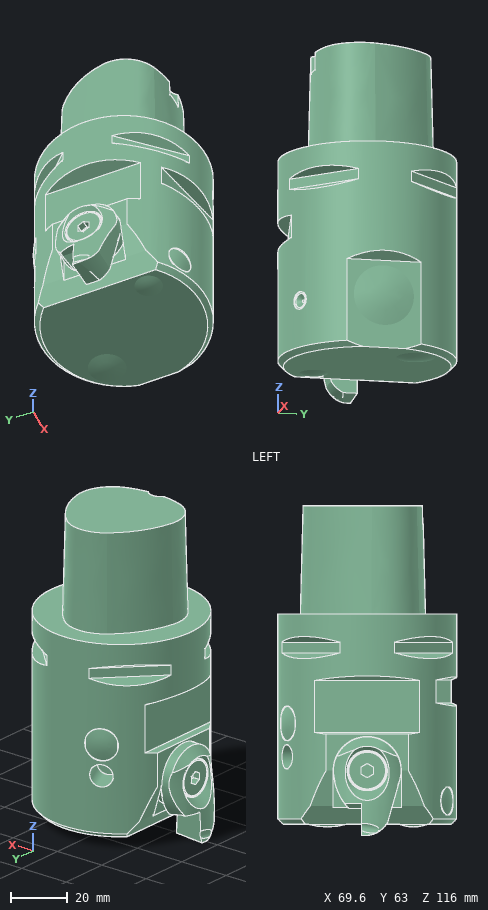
import cadquery as cq
import math

TOP_Z = 116.0
FLANGE_Z = 78.0
BOTTOM_Z = 4.0
BODY_DIA = 63.0
BODY_RADIUS = BODY_DIA / 2
BOTTOM_CHAMFER = 2.0
OUTSIDE = 46.4

SHANK_LOBE_REACH = 23.5
SHANK_FLAT_REACH = 20.5
LOBE_CENTER = 8.6
SHANK_TAPER = 40.0
LOBE_ANGLES = (90, 210, 330)
LOBE_SPACING = 120
KEY_DIA = 8.5
KEY_AXIS_Y = -21.9
KEY_DEPTH = 6.4

GRIP_FLOOR = 28.0
GRIP_Z = 66.1
GRIP_FLOOR_HEIGHT = 3.7
GRIP_SLOPE = 30.0
GRIP_ANGLES = (45.0, 135.0, 225.0, 315.0)
FRONT_FLOOR = 27.3
FRONT_Z = 50.7
FRONT_FLOOR_HEIGHT = 8.0
FRONT_SLOPE = 15.0
FRONT_ANGLE = 260.0

RELIEF_FLOOR = 25.5
RELIEF_TOP_Z = 54.5
RELIEF_STEP_Z = 36.3
RELIEF_SLOPE = 15.0
SEAT_FACE = 28.0
RAMP_BEND = 24.2
RAMP_BEND_Z = 10.3
RAMP_FOOT = 20.0
BACK_FLAT = 28.5
BACK_FLAT_Z = 35.5

AXIS_Z = 22.9
POCKET_DIA = 24.0
POCKET_FLOOR = 23.9
HUB_DIA = 23.8
HUB_FRONT = 31.7
SADDLE_AXIS = 19.1
TIP_RADIUS = 19.0
TIP_LIP = 0.6
TIP_LIP_Z = 1.9
WAIST_FOOT_RADIUS = 18.0
WAIST_FOOT_Z = 11.6
WAIST_RADIUS = 16.8
WAIST_HEAD_RADIUS = 16.7
BLADE_BACK_TOP = 27.5
BLADE_BACK_FOOT = 26.5
BLADE_EDGE_Y = 2.1
BLADE_STEP_Z = 9.5
BLADE_RELIEF = 4.0
BLADE_CORNER_MID = (-4.1, 1.4)
BLADE_CORNER = (-7.2, 4.6)
BLADE_SHOULDER = (-11.5, 19.7)
PLATE_MID = (10.7, 16.2)
PLATE_FOOT_Y = 6.5
CHIP_GROOVE_RADIUS = 2.3
CHIP_GROOVE_REACH = 39.4
CHIP_GROOVE_Z = 2.8
CHIP_GROOVE_TILT = 8.0
STEP_BEVEL_RISE = 1.9
STEP_BEVEL_RUN = 5.8
SCREW_BORE_DIA = 14.2
SCREW_SEAT = 27.8
COUNTERSINK_SLOPE = 43.0
SCREW_FACE = 33.4
SCREW_HEAD_DIA = 13.6
SCREW_HEAD_CHAMFER = 0.3
SCREW_SHANK_DIA = 8.0
SCREW_END = 11.6
HEX_CORNER_DIA = 5.0
HEX_DEPTH = 2.9

PLUG_RISE = 0.9
PLUG_FLAT = 31.0
SMALL_PLUG_DIA = 10.0
SIDE_PLUG_ANGLE = 244.6
SIDE_PLUG_Z = 12.2
BACK_PLUG_DIA = 12.2
BACK_PORT_ANGLE = 115.8
BACK_PLUG_Z = 39.4
PORT_DIA = 8.5
PORT_Z = 27.7
PORT_DEPTH = 11.6
LARGE_PLUG_DIA = 13.6
SMALL_PLUG_XY = (-13.7, -16.2)
LARGE_PLUG_XY = (16.2, 14.0)
CAP_DIA = 21.6
CAP_RISE = 1.7
SET_SCREW_ANGLE = 298.8
SET_SCREW_DIA = 5.0
SET_SCREW_RIM_DIA = 6.3
SET_SCREW_RIM_DEPTH = 0.5
SET_SCREW_CONE_DEPTH = 1.4
VENT_DIA = 1.0
VENT_DEPTH = 1.2


def polar(radius, degrees):
    angle = math.radians(degrees)
    return (radius * math.cos(angle), radius * math.sin(angle))


def run(length, degrees):
    """Sideways travel of a face that leans by an angle over a length."""
    return length * math.tan(math.radians(degrees))


def radial_plane(degrees, distance, z):
    """Plane whose normal points away from the body axis; its local y is up."""
    x, y = polar(distance, degrees)
    normal = (*polar(1, degrees), 0)
    tangent = (*polar(1, degrees + 90), 0)
    return cq.Plane(origin=(x, y, z), xDir=tangent, normal=normal)


def insert_plane(distance, z=AXIS_Z):
    """Plane facing -X at a distance from the body axis; its local x is -Y."""
    return cq.Plane(origin=(-distance, 0, z), xDir=(0, -1, 0), normal=(-1, 0, 0))


def dome(plane, diameter, rise):
    """Spherical cap standing on a plane."""
    half = diameter / 2
    sphere_radius = (half**2 + rise**2) / (2 * rise)
    mid_angle = math.asin(half / sphere_radius) / 2
    mid = (sphere_radius * math.sin(mid_angle), rise - sphere_radius * (1 - math.cos(mid_angle)))
    section = cq.Plane(origin=plane.origin, xDir=plane.xDir, normal=-plane.yDir)
    return (
        cq.Workplane(section)
        .moveTo(0, 0)
        .lineTo(half, 0)
        .threePointArc(mid, (0, rise))
        .close()
        .revolve(360, (0, 0), (0, 1))
    )


def shank_outline(z, inset):
    """Rounded triangle of three lobe arcs and three flat arcs, all tangent, one lobe toward +Y."""
    swell = SHANK_LOBE_REACH - SHANK_FLAT_REACH
    flat_center = swell * (2 * LOBE_CENTER - swell) / (LOBE_CENTER - 2 * swell)
    lobe_radius = SHANK_LOBE_REACH - LOBE_CENTER - inset
    lobe_x, lobe_y = polar(LOBE_CENTER, LOBE_SPACING)
    turn_from_flat = math.degrees(math.atan2(lobe_y, flat_center - lobe_x))
    joint_turn = LOBE_SPACING / 2 - turn_from_flat

    def joint(lobe, turn):
        center_x, center_y = polar(LOBE_CENTER, lobe)
        arm_x, arm_y = polar(lobe_radius, lobe + turn)
        return (center_x + arm_x, center_y + arm_y)

    outline = cq.Workplane("XY", origin=(0, 0, z)).moveTo(*joint(LOBE_ANGLES[0], -joint_turn))
    for lobe in LOBE_ANGLES:
        outline = outline.threePointArc(
            polar(SHANK_LOBE_REACH - inset, lobe), joint(lobe, joint_turn)
        ).threePointArc(
            polar(SHANK_FLAT_REACH - inset, lobe + LOBE_SPACING / 2), joint(lobe + LOBE_SPACING, -joint_turn)
        )
    return outline.close().wires().val()


def make_shank():
    length = TOP_Z - FLANGE_Z
    outlines = [shank_outline(FLANGE_Z, 0), shank_outline(TOP_Z, length / SHANK_TAPER)]
    shank = cq.Workplane(cq.Solid.makeLoft(outlines, True))
    key = (
        cq.Workplane("XY", origin=(0, KEY_AXIS_Y, TOP_Z - KEY_DEPTH))
        .circle(KEY_DIA / 2)
        .extrude(KEY_DEPTH + 1.2)
    )
    return shank.cut(key)


def groove(floor, z, floor_height, slope, degrees):
    """Straight trapezoid cutter that widens outward from its floor."""
    depth = OUTSIDE - floor
    half = floor_height / 2
    mouth = half + run(depth, slope)
    plane = cq.Plane(
        origin=(*polar(floor, degrees), z),
        xDir=(*polar(1, degrees), 0),
        normal=(*polar(1, degrees - 90), 0),
    )
    return (
        cq.Workplane(plane)
        .polyline([(0, -half), (depth, -mouth), (depth, mouth), (0, half)])
        .close()
        .extrude(OUTSIDE, both=True)
    )


def insert_side_relief():
    """Everything removed on the -X side: a deep recess, the seat face and two ramps under it."""
    outline = [
        (-OUTSIDE, RELIEF_TOP_Z + run(OUTSIDE - RELIEF_FLOOR, RELIEF_SLOPE)),
        (-RELIEF_FLOOR, RELIEF_TOP_Z),
        (-RELIEF_FLOOR, RELIEF_STEP_Z),
        (-SEAT_FACE, RELIEF_STEP_Z - run(SEAT_FACE - RELIEF_FLOOR, RELIEF_SLOPE)),
        (-SEAT_FACE, AXIS_Z),
        (-RAMP_BEND, RAMP_BEND_Z),
        (-RAMP_FOOT, BOTTOM_Z),
        (-OUTSIDE, BOTTOM_Z),
    ]
    return cq.Workplane("XZ").polyline(outline).close().extrude(OUTSIDE, both=True)


def back_flat():
    """Flat on the +X side that runs out upward at 45 degrees."""
    outline = [
        (BACK_FLAT, BOTTOM_Z),
        (BACK_FLAT, BACK_FLAT_Z),
        (OUTSIDE, BACK_FLAT_Z + OUTSIDE - BACK_FLAT),
        (OUTSIDE, BOTTOM_Z),
    ]
    return cq.Workplane("XZ").polyline(outline).close().extrude(OUTSIDE, both=True)


def insert_pocket():
    """Round pocket for the hub, open downward, with the screw hole behind it."""
    depth = OUTSIDE - POCKET_FLOOR
    plane = insert_plane(POCKET_FLOOR)
    pocket = cq.Workplane(plane).circle(POCKET_DIA / 2).extrude(depth)
    slot = cq.Workplane(plane).center(0, -AXIS_Z / 2).rect(POCKET_DIA, AXIS_Z).extrude(depth)
    screw_hole = (
        cq.Workplane(insert_plane(SCREW_END))
        .circle(SCREW_SHANK_DIA / 2)
        .extrude(POCKET_FLOOR - SCREW_END)
    )
    return pocket.union(slot).union(screw_hole)


def add_side_plug(body, degrees, z, diameter):
    """Domed plug set into a shallow round recess in the body's side."""
    plane = radial_plane(degrees, PLUG_FLAT, z)
    recess = cq.Workplane(plane).circle(diameter / 2).extrude(OUTSIDE - PLUG_FLAT)
    return body.cut(recess).union(dome(plane, diameter, PLUG_RISE))


def add_bottom_plug(body, center, diameter):
    plane = cq.Plane(origin=(*center, BOTTOM_Z), xDir=(1, 0, 0), normal=(0, 0, -1))
    return body.union(dome(plane, diameter, PLUG_RISE))


def set_screw_recess():
    """Stepped round recess that narrows in a cone to a small vent."""
    rim_floor = BODY_RADIUS - SET_SCREW_RIM_DEPTH
    cone_floor = rim_floor - SET_SCREW_CONE_DEPTH
    direction = (*polar(1, SET_SCREW_ANGLE), 0)
    rim = (
        cq.Workplane(radial_plane(SET_SCREW_ANGLE, rim_floor, AXIS_Z))
        .circle(SET_SCREW_RIM_DIA / 2)
        .extrude(OUTSIDE - rim_floor)
    )
    cone_start = (*polar(cone_floor, SET_SCREW_ANGLE), AXIS_Z)
    cone = cq.Solid.makeCone(VENT_DIA / 2, SET_SCREW_DIA / 2, SET_SCREW_CONE_DEPTH, cone_start, direction)
    vent = (
        cq.Workplane(radial_plane(SET_SCREW_ANGLE, cone_floor - VENT_DEPTH, AXIS_Z))
        .circle(VENT_DIA / 2)
        .extrude(VENT_DEPTH)
    )
    return rim.union(cq.Workplane(cone)).union(vent)


def port():
    """Plain round hole, square to the body's side."""
    return (
        cq.Workplane(radial_plane(BACK_PORT_ANGLE, BODY_RADIUS - PORT_DEPTH, PORT_Z))
        .circle(PORT_DIA / 2)
        .extrude(OUTSIDE)
    )


def make_holder():
    body = (
        cq.Workplane("XY", origin=(0, 0, BOTTOM_Z))
        .circle(BODY_RADIUS)
        .extrude(FLANGE_Z - BOTTOM_Z)
        .faces("<Z")
        .chamfer(BOTTOM_CHAMFER)
    )
    for angle in GRIP_ANGLES:
        body = body.cut(groove(GRIP_FLOOR, GRIP_Z, GRIP_FLOOR_HEIGHT, GRIP_SLOPE, angle))
    body = body.cut(groove(FRONT_FLOOR, FRONT_Z, FRONT_FLOOR_HEIGHT, FRONT_SLOPE, FRONT_ANGLE))
    body = body.cut(insert_side_relief()).cut(back_flat()).cut(insert_pocket())
    body = body.cut(set_screw_recess()).cut(port())
    body = add_side_plug(body, SIDE_PLUG_ANGLE, SIDE_PLUG_Z, SMALL_PLUG_DIA)
    body = add_side_plug(body, BACK_PORT_ANGLE, BACK_PLUG_Z, BACK_PLUG_DIA)
    body = add_bottom_plug(body, SMALL_PLUG_XY, SMALL_PLUG_DIA)
    body = add_bottom_plug(body, LARGE_PLUG_XY, LARGE_PLUG_DIA)
    body = body.union(dome(radial_plane(0, BACK_FLAT, AXIS_Z), CAP_DIA, CAP_RISE))
    return body.union(make_shank())


def insert_saddle():
    """Solid turned about a vertical axis: hollow-waisted front face flaring to the cutting tip."""
    waist_end_z = AXIS_Z + HUB_DIA / 2
    waist = [
        (WAIST_FOOT_RADIUS, WAIST_FOOT_Z),
        (WAIST_RADIUS, AXIS_Z),
        (WAIST_HEAD_RADIUS, waist_end_z),
    ]
    return (
        cq.Workplane("XZ", origin=(-SADDLE_AXIS, 0, 0))
        .lineTo(TIP_RADIUS, 0)
        .lineTo(TIP_RADIUS - TIP_LIP, TIP_LIP_Z)
        .spline(waist, includeCurrent=True)
        .lineTo(0, waist_end_z)
        .close()
        .revolve(360, (0, 0), (0, 1))
    )


def hub_bevel():
    """45-degree conical bevel around the upper half of the hub's front."""
    hub_radius = HUB_DIA / 2
    block = (
        cq.Workplane(insert_plane(HUB_FRONT, AXIS_Z + hub_radius))
        .rect(2 * HUB_DIA, HUB_DIA)
        .extrude(hub_radius)
    )
    cone = cq.Solid.makeCone(hub_radius, 0, hub_radius, (-HUB_FRONT, 0, AXIS_Z), (-1, 0, 0))
    return block.cut(cq.Workplane(cone))


def step_bevel():
    """Slope under the hub, beside the blade, that rises toward the front."""
    outline = [
        (-BLADE_BACK_TOP, 0),
        (-BLADE_BACK_TOP, BLADE_STEP_Z),
        (-BLADE_BACK_TOP - STEP_BEVEL_RUN, BLADE_STEP_Z + STEP_BEVEL_RISE),
        (-OUTSIDE, BLADE_STEP_Z + STEP_BEVEL_RISE),
        (-OUTSIDE, 0),
    ]
    return (
        cq.Workplane("XZ", origin=(0, BLADE_EDGE_Y, 0))
        .polyline(outline)
        .close()
        .extrude(-OUTSIDE)
    )


def screw_bore():
    """Through hole and counterbore, widened by a conical countersink in front of the screw head."""
    hole = cq.Workplane(insert_plane(0)).circle(SCREW_SHANK_DIA / 2).extrude(OUTSIDE)
    counterbore = (
        cq.Workplane(insert_plane(SCREW_SEAT)).circle(SCREW_BORE_DIA / 2).extrude(OUTSIDE - SCREW_SEAT)
    )
    depth = OUTSIDE - SCREW_FACE
    mouth_radius = SCREW_BORE_DIA / 2 + run(depth, COUNTERSINK_SLOPE)
    countersink = cq.Solid.makeCone(
        SCREW_BORE_DIA / 2, mouth_radius, depth, (-SCREW_FACE, 0, AXIS_Z), (-1, 0, 0)
    )
    return hole.union(counterbore).union(cq.Workplane(countersink))


def make_screw():
    head = (
        cq.Workplane(insert_plane(SCREW_SEAT))
        .circle(SCREW_HEAD_DIA / 2)
        .extrude(SCREW_FACE - SCREW_SEAT)
        .faces("<X")
        .chamfer(SCREW_HEAD_CHAMFER)
    )
    shank = (
        cq.Workplane(insert_plane(SCREW_END)).circle(SCREW_SHANK_DIA / 2).extrude(SCREW_SEAT - SCREW_END)
    )
    socket = (
        cq.Workplane(insert_plane(SCREW_FACE))
        .transformed(rotate=(0, 0, 90))
        .polygon(6, HEX_CORNER_DIA)
        .extrude(-HEX_DEPTH)
    )
    return head.union(shank).cut(socket)


def make_blade():
    """Lower half of the insert's front plate with the cutting blade that hangs from it."""
    face_outline = (
        cq.Workplane("YZ", origin=(-OUTSIDE, 0, 0))
        .moveTo(HUB_DIA / 2, AXIS_Z)
        .threePointArc(PLATE_MID, (PLATE_FOOT_Y, BLADE_STEP_Z))
        .lineTo(BLADE_EDGE_Y, BLADE_STEP_Z)
        .lineTo(BLADE_EDGE_Y, 0)
        .lineTo(0, 0)
        .threePointArc(BLADE_CORNER_MID, BLADE_CORNER)
        .lineTo(*BLADE_SHOULDER)
        .lineTo(-HUB_DIA / 2, AXIS_Z)
        .close()
        .extrude(OUTSIDE)
    )
    tip = SADDLE_AXIS + TIP_RADIUS
    side_outline = (
        cq.Workplane("XZ")
        .polyline([
            (-OUTSIDE, 0),
            (-tip, 0),
            (-BLADE_BACK_FOOT, run(tip - BLADE_BACK_FOOT, BLADE_RELIEF)),
            (-BLADE_BACK_TOP, AXIS_Z),
            (-OUTSIDE, AXIS_Z),
        ])
        .close()
        .extrude(OUTSIDE, both=True)
    )
    return face_outline.intersect(side_outline)


def chip_groove():
    """Shallow round groove across the front of the blade, just above the cutting edge."""
    direction = (0, math.cos(math.radians(CHIP_GROOVE_TILT)), math.sin(math.radians(CHIP_GROOVE_TILT)))
    plane = cq.Plane(origin=(-CHIP_GROOVE_REACH, 0, CHIP_GROOVE_Z), xDir=(1, 0, 0), normal=direction)
    return cq.Workplane(plane).circle(CHIP_GROOVE_RADIUS).extrude(HUB_DIA, both=True)


def make_insert():
    hub = cq.Workplane(insert_plane(POCKET_FLOOR)).circle(HUB_DIA / 2).extrude(OUTSIDE - POCKET_FLOOR)
    insert = hub.union(make_blade()).intersect(insert_saddle())
    return insert.cut(hub_bevel()).cut(step_bevel()).cut(chip_groove()).cut(screw_bore())


holder = make_holder().solids()
insert = make_insert().solids()
screw = make_screw().solids()
result = cq.Compound.makeCompound([holder.val(), insert.val(), screw.val()])